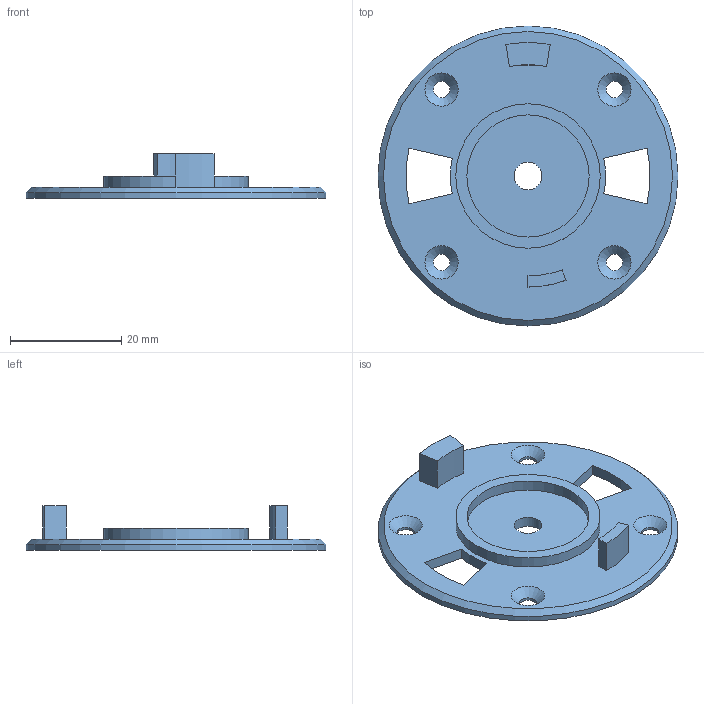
import cadquery as cq
import math

disc_diameter = 54.0
disc_thickness = 2.0
rim_chamfer = 1.0
center_hole_diameter = 5.0

ring_outer_diameter = 26.0
ring_inner_diameter = 22.0
ring_height = 2.0

screw_circle_radius = 22.0
screw_hole_diameter = 3.0
screw_head_diameter = 6.0
countersink_angle = 90.0
screw_count = 4
first_screw_angle = 45.0

window_inner_radius = 14.0
window_outer_radius = 22.0
window_outer_width = 10.0
window_directions = (0.0, 180.0)

tab_height = 6.0
back_tab_inner_radius = 20.0
back_tab_outer_radius = 24.0
back_tab_outer_width = 8.0
back_tab_direction = 90.0
front_tab_inner_radius = 18.0
front_tab_outer_radius = 20.0
front_tab_start = 270.0
front_tab_sweep = 20.0


def chord_angle(chord, radius):
    """Angle in degrees that a chord spans on a circle."""
    return 2 * math.degrees(math.asin(chord / 2 / radius))


def polar(radius, angle):
    """Point at a radius and an angle in degrees about the disc axis."""
    return (radius * math.cos(math.radians(angle)), radius * math.sin(math.radians(angle)))


def ring_sector(inner_radius, outer_radius, start, sweep, base_z, height):
    """Upright block whose plan is a piece of a ring with radial ends."""
    middle = start + sweep / 2
    end = start + sweep
    return (
        cq.Workplane("XY", origin=(0, 0, base_z))
        .moveTo(*polar(inner_radius, start))
        .lineTo(*polar(outer_radius, start))
        .threePointArc(polar(outer_radius, middle), polar(outer_radius, end))
        .lineTo(*polar(inner_radius, end))
        .threePointArc(polar(inner_radius, middle), polar(inner_radius, start))
        .close()
        .extrude(height)
    )


def make_disc():
    """Flat disc with a chamfered upper rim."""
    return (
        cq.Workplane("XY")
        .circle(disc_diameter / 2)
        .extrude(disc_thickness)
        .faces(">Z")
        .edges()
        .chamfer(rim_chamfer)
    )


def add_ring(body):
    """Raised ring standing on the disc."""
    ring = (
        cq.Workplane("XY", origin=(0, 0, disc_thickness))
        .circle(ring_outer_diameter / 2)
        .circle(ring_inner_diameter / 2)
        .extrude(ring_height)
    )
    return body.union(ring)


def cut_holes(body):
    """Plain center hole and the circle of countersunk screw holes."""
    center_hole = cq.Workplane("XY").circle(center_hole_diameter / 2).extrude(disc_thickness)
    screw_step = 360.0 / screw_count
    screw_points = [polar(screw_circle_radius, first_screw_angle + i * screw_step) for i in range(screw_count)]
    return (
        body.cut(center_hole)
        .copyWorkplane(cq.Workplane("XY", origin=(0, 0, disc_thickness)))
        .pushPoints(screw_points)
        .cskHole(screw_hole_diameter, screw_head_diameter, countersink_angle)
    )


def cut_windows(body):
    """Windows cut through the disc, each centered on its direction."""
    sweep = chord_angle(window_outer_width, window_outer_radius)
    for direction in window_directions:
        start = direction - sweep / 2
        window = ring_sector(window_inner_radius, window_outer_radius, start, sweep, 0, disc_thickness)
        body = body.cut(window)
    return body


def make_tab(inner_radius, outer_radius, start, sweep):
    """Upright tab standing on the disc."""
    return ring_sector(inner_radius, outer_radius, start, sweep, disc_thickness, tab_height)


def add_tabs(body):
    """Back tab and front tab, joined to the disc."""
    back_sweep = chord_angle(back_tab_outer_width, back_tab_outer_radius)
    back_start = back_tab_direction - back_sweep / 2
    back_tab = make_tab(back_tab_inner_radius, back_tab_outer_radius, back_start, back_sweep)
    front_tab = make_tab(front_tab_inner_radius, front_tab_outer_radius, front_tab_start, front_tab_sweep)
    return body.union(back_tab).union(front_tab)


result = make_disc()
result = add_ring(result)
result = cut_holes(result)
result = cut_windows(result)
result = add_tabs(result)